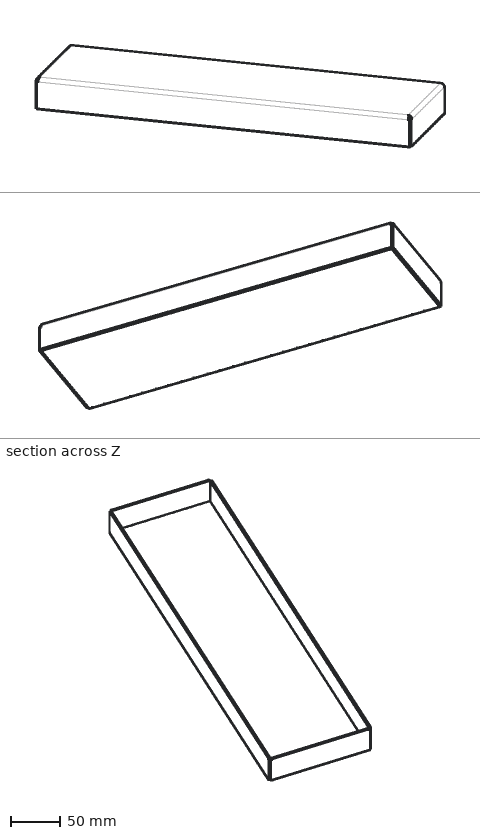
import cadquery as cq

length = 400.0
width = 114.0
height = 34.0

sheet = 2.5
outer_bend = 4.0
inner_bend = outer_bend - sheet

corner_setback = 2.0

bend_setback = 3.0

wall_bottom = 1.0
bottom_inset = corner_setback
wall_top = height - outer_bend


def box_between(size_x, size_y, bottom, top):
    """Box centred on the Z axis between two heights."""
    box = cq.Workplane("XY").box(size_x, size_y, top - bottom, centered=(True, True, False))
    return box.translate((0, 0, bottom))


def bent_wall(depth, run):
    """Wall on the +X side of a box of the given depth, with its bend into the top sheet."""
    outer_face = depth / 2
    bend_center = outer_face - outer_bend
    wall_run = run - 2 * corner_setback
    bend_run = run - 2 * bend_setback

    wall = cq.Workplane("XY").box(sheet, wall_run, wall_top - wall_bottom)
    wall = wall.translate((outer_face - sheet / 2, 0, (wall_top + wall_bottom) / 2))

    bend = (
        cq.Workplane("XZ")
        .center(bend_center, wall_top)
        .moveTo(outer_bend, 0)
        .radiusArc((0, outer_bend), -outer_bend)
        .lineTo(0, inner_bend)
        .radiusArc((inner_bend, 0), inner_bend)
        .close()
        .extrude(bend_run / 2, both=True)
    )
    return wall.union(bend)


top_sheet = box_between(length - 2 * outer_bend, width - 2 * outer_bend, height - sheet, height)
bottom_sheet = box_between(length - 2 * bottom_inset, width - 2 * bottom_inset, 0, sheet)
end_wall = bent_wall(length, width)
side_wall = bent_wall(width, length)

result = top_sheet.union(bottom_sheet)
for turn in (0, 180):
    result = result.union(end_wall.rotate((0, 0, 0), (0, 0, 1), turn))
    result = result.union(side_wall.rotate((0, 0, 0), (0, 0, 1), turn + 90))